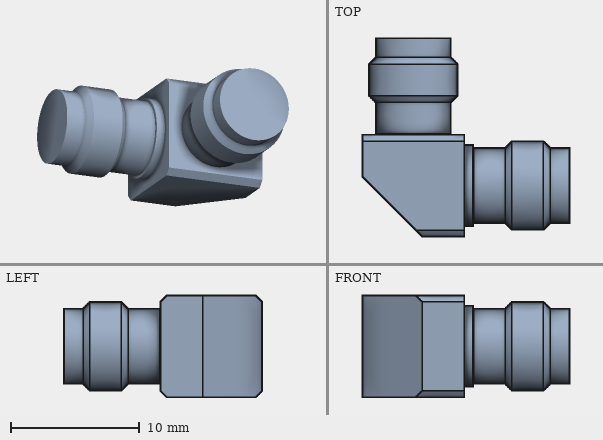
import cadquery as cq

BLOCK_SIDE = 7.92
CORNER_CUT = 4.64
EDGE_CHAMFER = 0.5

COLLAR_RADIUS = 3.15
COLLAR_LENGTH = 0.68

CONNECTOR_LENGTH = 7.47
BARREL_DIAMETER = 5.85
BAND_DIAMETER = 6.9
NECK_LENGTH = 2.46
TIP_LENGTH = 1.5
BAND_CHAMFER = (BAND_DIAMETER - BARREL_DIAMETER) / 2
SEAT_GAP = 0.03

HALF_SIDE = BLOCK_SIDE / 2


def make_elbow():
    """Cube with chamfered edges along X and its outer vertical corner cut off at 45 degrees."""
    cube = cq.Workplane("XY").box(BLOCK_SIDE, BLOCK_SIDE, BLOCK_SIDE).edges("|X").chamfer(EDGE_CHAMFER)
    corner = (
        cq.Workplane("XY")
        .workplane(offset=-HALF_SIDE)
        .moveTo(-HALF_SIDE, -HALF_SIDE)
        .lineTo(-HALF_SIDE + CORNER_CUT, -HALF_SIDE)
        .lineTo(-HALF_SIDE, -HALF_SIDE + CORNER_CUT)
        .close()
        .extrude(BLOCK_SIDE)
    )
    return cube.cut(corner)


def make_collar():
    """Plain disc seated on the block's +X face."""
    return cq.Workplane("YZ").workplane(offset=HALF_SIDE).circle(COLLAR_RADIUS).extrude(COLLAR_LENGTH)


def make_connector():
    """Turned connector along +X, with its base at the origin."""
    barrel_radius = BARREL_DIAMETER / 2
    band_radius = BAND_DIAMETER / 2
    band_end = CONNECTOR_LENGTH - TIP_LENGTH
    return (
        cq.Workplane("XY")
        .lineTo(0, barrel_radius)
        .lineTo(NECK_LENGTH, barrel_radius)
        .lineTo(NECK_LENGTH + BAND_CHAMFER, band_radius)
        .lineTo(band_end - BAND_CHAMFER, band_radius)
        .lineTo(band_end, barrel_radius)
        .lineTo(CONNECTOR_LENGTH, barrel_radius)
        .lineTo(CONNECTOR_LENGTH, 0)
        .close()
        .revolve(360, (0, 0, 0), (1, 0, 0))
    )


elbow = make_elbow()
collar = make_collar()

PORTS = [(0, HALF_SIDE + COLLAR_LENGTH + SEAT_GAP), (90, HALF_SIDE + SEAT_GAP)]
connectors = [
    make_connector().translate((base, 0, 0)).rotate((0, 0, 0), (0, 0, 1), turn).val()
    for turn, base in PORTS
]

result = cq.Compound.makeCompound([elbow.val(), collar.val(), *connectors])